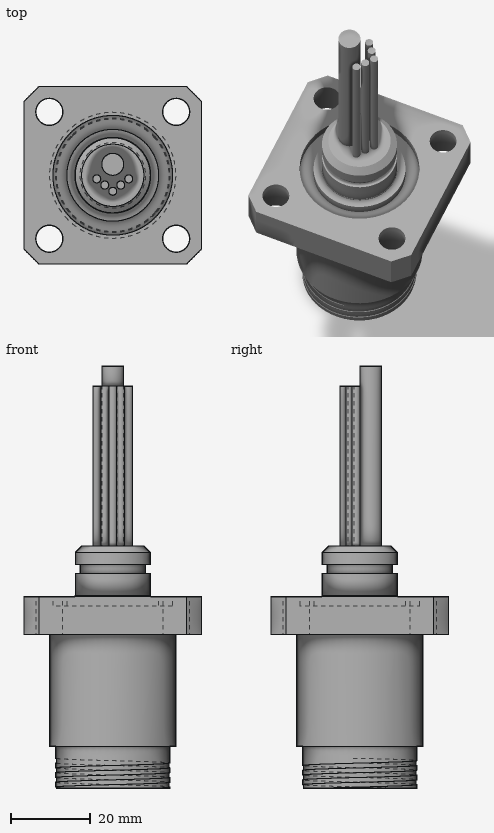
import cadquery as cq
import math


nose_dia = 28.6
nose_length = 10.5
thread_pitch = 2.4
thread_groove_width = thread_pitch / 2
thread_groove_depth = 0.2
thread_top = 7.55

barrel_dia = 31.6
barrel_length = 28.0
barrel_top = nose_length + barrel_length

flange_size = 44.5
flange_thickness = 9.5
flange_corner_chamfer = 3.8
flange_top = barrel_top + flange_thickness
mount_hole_dia = 6.7
mount_hole_spacing = 31.75

recess_dia = 30.0
recess_depth = 2.3
collar_dia = 23.0

neck_dia = 18.8
neck_top = 60.7
neck_edge_chamfer = 1.6
neck_groove_dia = 16.4
neck_groove_bottom = 53.8
neck_groove_width = 2.2

foot_dia = 19.0
foot_thickness = 0.3

cable_dia = 5.5
cable_length = 45.0
cable_y = cable_dia / 2
wire_dia = 2.0
wire_length = 40.0
wire_step_x = 2.0
wire_step_y = 1.55
lowest_wire_y = -4.0
wires_per_side = 2


def cylinder(diameter, bottom, top, x=0.0, y=0.0):
    """Upright cylinder between two heights."""
    base = cq.Workplane("XY", origin=(x, y, bottom))
    return base.circle(diameter / 2).extrude(top - bottom)


def thread_groove():
    """Right-hand square groove, ending in a straight tangent run-out on the -X side."""
    nose_radius = nose_dia / 2
    root_radius = nose_radius - thread_groove_depth
    overcut = 0.5
    cut_depth = thread_groove_depth + overcut
    turns = math.ceil(thread_top / thread_pitch)
    end_height = thread_top - thread_groove_width / 2
    start_height = end_height - turns * thread_pitch
    helix = cq.Wire.makeHelix(thread_pitch, turns * thread_pitch, root_radius)
    groove = (
        cq.Workplane("XZ")
        .center(root_radius + cut_depth / 2, 0)
        .rect(cut_depth, thread_groove_width)
        .sweep(cq.Workplane(obj=helix), isFrenet=True)
        .rotate((0, 0, 0), (0, 0, 1), 180)
        .translate((0, 0, start_height))
    )
    runout_length = math.sqrt(nose_radius**2 - root_radius**2) + overcut
    runout = (
        cq.Workplane("XY", origin=(-root_radius, 0, end_height))
        .box(cut_depth, runout_length, thread_groove_width, centered=(False, False, True))
        .translate((-cut_depth, -runout_length, 0))
    )
    return groove, runout


def make_housing():
    nose = cylinder(nose_dia, 0, nose_length)
    for cutter in thread_groove():
        nose = nose.cut(cutter)
    barrel = cylinder(barrel_dia, nose_length, barrel_top)
    flange = (
        cq.Workplane("XY", origin=(0, 0, barrel_top))
        .rect(flange_size, flange_size)
        .extrude(flange_thickness)
        .edges("|Z")
        .chamfer(flange_corner_chamfer)
        .faces(">Z")
        .workplane()
        .rect(mount_hole_spacing, mount_hole_spacing, forConstruction=True)
        .vertices()
        .hole(mount_hole_dia)
    )
    recess_floor = flange_top - recess_depth
    recess = cylinder(recess_dia, recess_floor, flange_top)
    recess = recess.cut(cylinder(collar_dia, recess_floor, flange_top))
    return nose.union(barrel).union(flange).cut(recess)


def make_neck():
    """Turned neck with its foot, seal groove and chamfered top edge."""
    neck_radius = neck_dia / 2
    foot_radius = foot_dia / 2
    foot_top = flange_top + foot_thickness
    groove_radius = neck_groove_dia / 2
    groove_top = neck_groove_bottom + neck_groove_width
    return (
        cq.Workplane("XZ")
        .moveTo(0, flange_top)
        .lineTo(foot_radius, flange_top)
        .lineTo(foot_radius, foot_top)
        .lineTo(neck_radius, foot_top)
        .lineTo(neck_radius, neck_groove_bottom)
        .lineTo(groove_radius, neck_groove_bottom)
        .lineTo(groove_radius, groove_top)
        .lineTo(neck_radius, groove_top)
        .lineTo(neck_radius, neck_top - neck_edge_chamfer)
        .lineTo(neck_radius - neck_edge_chamfer, neck_top)
        .lineTo(0, neck_top)
        .close()
        .revolve(360, (0, 0), (0, 1))
    )


def make_insert():
    cable = cylinder(cable_dia, neck_top, neck_top + cable_length, y=cable_y)
    insert = make_neck().union(cable)
    for i in range(-wires_per_side, wires_per_side + 1):
        wire_x = i * wire_step_x
        wire_y = lowest_wire_y + abs(i) * wire_step_y
        insert = insert.union(cylinder(wire_dia, neck_top, neck_top + wire_length, wire_x, wire_y))
    return insert


housing = make_housing()
insert = make_insert()
result = cq.Compound.makeCompound([housing.val(), insert.val()])